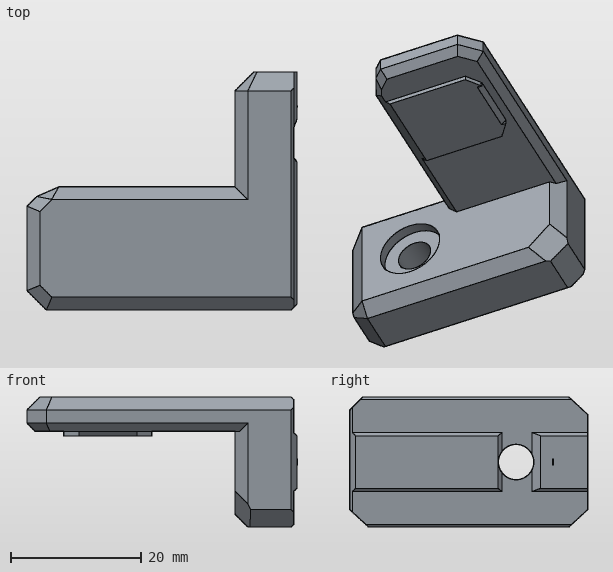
import cadquery as cq
import math

length = 41.6
depth = 36.6
height = 20.0
edge_chamfer = 2.0
back_chamfer = 0.4
nub_height = 0.1

rail_height = 0.5
leg_thickness = 9.05
leg_back = length - nub_height - rail_height
leg_front = leg_back - leg_thickness
end_chamfer = 2.9
bevel_depth = 2.9
bevel_height = 2.7
foot_facet_depth = 2.35

arm_width = 18.95
arm_thickness = 5.3
pad_height = 0.75
tip_near_corner = 3.0
tip_far_corner = 1.5
tip_far_run = 4.9
tip_far_inset = 1.37
pad_start = 5.65
pad_end = 19.2
pad_corner_x = 2.35
pad_corner_y = 1.75
pad_near = 2.5

hole_y = 25.6
hole_z = height / 2
hole_diameter = 5.4
counterbore_diameter = 10.0
counterbore_depth = 1.65

rail_width = 9.05
gap_near = 23.4
gap_far = 28.05
gap_near_slope = 0.62
gap_far_slope = 1.3
nub_y = 31.3
nub_width = 0.9
nub_length = 0.15

CUTTER = 83.2


def beyond_plane(point, normal):
    """Large block filling the space on the normal's side of a plane."""
    plane = cq.Plane(origin=point, normal=normal)
    return cq.Workplane(plane).rect(CUTTER, CUTTER).extrude(CUTTER)


def make_leg():
    """Plate with chamfered front edges and bevelled corners."""
    leg = cq.Workplane("XY").box(leg_thickness, depth, height, centered=False)
    leg = leg.translate((leg_front, 0, 0))
    for out_y, out_z, edge_z in ((-1, 0, 0), (0, -1, 0), (0, 1, height)):
        leg = leg.cut(beyond_plane((leg_front + edge_chamfer, 0, edge_z), (-1, out_y, out_z)))

    leg = leg.cut(beyond_plane((leg_front, depth - end_chamfer, 0), (-1, 1, 0)))
    for side, face_z in ((-1, 0), (1, height)):
        corner = (leg_front + edge_chamfer, depth - end_chamfer, face_z)
        leg = leg.cut(beyond_plane(corner, (-1, math.sqrt(2), side)))

    foot = (leg_front + foot_facet_depth, bevel_depth, 0)
    return leg.cut(beyond_plane(foot, (-2, -1, -1)))


def make_arm():
    """Flat arm with a chamfered outline, and a raised pad on its underside."""
    full_thickness = arm_thickness + pad_height
    outline = [
        (leg_back, 0),
        (tip_near_corner, 0),
        (0, tip_near_corner),
        (0, arm_width - 2 * tip_far_corner),
        (tip_far_corner, arm_width - tip_far_corner),
        (tip_far_run, arm_width),
        (leg_back, arm_width),
    ]
    arm = cq.Workplane("XY").polyline(outline).close().extrude(full_thickness)
    arm = arm.translate((0, 0, height - full_thickness))
    for (start_x, start_y), (end_x, end_y) in zip(outline, outline[1:]):
        side = math.hypot(end_x - start_x, end_y - start_y)
        out_x = (start_y - end_y) / side
        out_y = (end_x - start_x) / side
        inset = tip_far_inset if end_x == tip_far_run else edge_chamfer
        slope = inset / edge_chamfer
        for face_z, out_z in ((height, 1), (height - full_thickness, -1)):
            point = (start_x, start_y, face_z - out_z * edge_chamfer)
            arm = arm.cut(beyond_plane(point, (out_x, out_y, out_z * slope)))

    pad = (
        cq.Workplane("XY")
        .moveTo(pad_start, arm_width)
        .lineTo(pad_start, pad_near + pad_corner_y)
        .lineTo(pad_start + pad_corner_x, pad_near)
        .lineTo(pad_end - pad_corner_x, pad_near)
        .lineTo(pad_end, pad_near + pad_corner_y)
        .lineTo(pad_end, arm_width)
        .close()
        .extrude(pad_height)
    )
    pad_bevel = (
        cq.Workplane("YZ", origin=(pad_start + pad_corner_x, 0, 0))
        .polyline([(pad_near, 0), (pad_near + pad_height, 0), (pad_near, pad_height)])
        .close()
        .extrude(pad_end - pad_start - 2 * pad_corner_x)
    )
    pad = pad.cut(pad_bevel)
    recess = cq.Workplane("XY").box(leg_back, arm_width, pad_height, centered=False).cut(pad)
    return arm.cut(recess.translate((0, 0, height - full_thickness)))


def make_rail():
    """Sloped-sided rail along the back, interrupted at the hole, with a nub."""
    rail_back = leg_back + rail_height
    half_base = rail_width / 2
    half_top = half_base - rail_height
    rail = (
        cq.Workplane("XZ")
        .polyline([
            (leg_back, hole_z - half_base),
            (rail_back, hole_z - half_top),
            (rail_back, hole_z + half_top),
            (leg_back, hole_z + half_base),
        ])
        .close()
        .extrude(-depth)
    )
    gap = (
        cq.Workplane("XY")
        .polyline([
            (leg_back, gap_near),
            (rail_back, gap_near - gap_near_slope),
            (rail_back, gap_far + gap_far_slope),
            (leg_back, gap_far),
        ])
        .close()
        .extrude(height)
    )
    near_slope = beyond_plane((leg_back, back_chamfer, 0), (1, -1, 0))
    nub = cq.Workplane("XY").box(rail_height + nub_height, nub_length, nub_width)
    nub = nub.translate((length - (rail_height + nub_height) / 2, nub_y, hole_z))
    return rail.cut(gap).cut(near_slope).union(nub)


body = make_leg().union(make_arm())

body = body.cut(beyond_plane((leg_back, edge_chamfer, height), (0, -1, 1)))

chamfer_start = leg_back - back_chamfer
body = body.cut(beyond_plane((chamfer_start, 0, 0), (1, -1, 0)))
body = body.cut(beyond_plane((chamfer_start, 0, 0), (1, 0, -1)))
body = body.cut(beyond_plane((chamfer_start, 0, height), (1, 0, 1)))

far_bevel_y = depth - bevel_depth
body = body.cut(beyond_plane((leg_back, far_bevel_y, height), (0, bevel_height, bevel_depth)))
body = body.cut(beyond_plane((leg_back, far_bevel_y, 0), (0, bevel_height, -bevel_depth)))
body = body.cut(beyond_plane((leg_back, bevel_depth, 0), (0, -bevel_height, -bevel_depth)))

body = body.union(make_rail())

hole_plane = cq.Plane(origin=(leg_front, hole_y, hole_z), xDir=(0, 1, 0), normal=(1, 0, 0))
hole = cq.Workplane(hole_plane).circle(hole_diameter / 2).extrude(leg_thickness + rail_height)
counterbore = cq.Workplane(hole_plane).circle(counterbore_diameter / 2).extrude(counterbore_depth)
result = body.cut(hole).cut(counterbore)